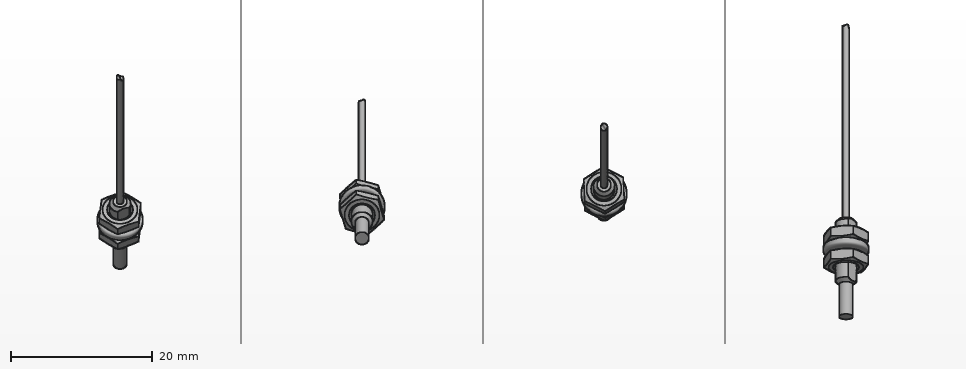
import cadquery as cq

total_height = 45.0
tip_diameter = 2.0
tip_length = 5.0
barrel_diameter = 3.0
barrel_top = 15.0
barrel_flat_x = 1.2
cable_diameter = 1.0
cable_end_wave = 0.22

nut_across_corners = 6.5
nut_height = 1.8
nut_face_diameter = 4.95
nut_corner_drop = 0.25
nut_mouth_diameter = 3.7
nut_bottoms = (7.65, 11.2)

washer_diameter = 6.5
washer_bore = 3.3
washer_bottom = 9.85
washer_height = 1.12
washer_edge_radius = 0.35


def make_barrel():
    """Cylinder coned at both ends to the tip diameter, with a flat on +X."""
    barrel_length = barrel_top - tip_length
    barrel = (
        cq.Workplane("XY", origin=(0, 0, tip_length))
        .circle(barrel_diameter / 2)
        .extrude(barrel_length)
        .faces("<Z or >Z")
        .chamfer((barrel_diameter - tip_diameter) / 2)
    )
    flat_cutter = cq.Workplane("XY", origin=(barrel_flat_x, 0, tip_length)).box(
        barrel_diameter, barrel_diameter, barrel_length, centered=(False, True, False)
    )
    return barrel.cut(flat_cutter)


def make_cable():
    """Round cable whose free end is an S-curve: convex on -Y, concave on +Y."""
    radius = cable_diameter / 2
    end_level = total_height - cable_end_wave
    side_profile = (
        cq.Workplane("YZ")
        .moveTo(-radius, barrel_top)
        .lineTo(-radius, end_level)
        .threePointArc((-radius / 2, total_height), (0, end_level))
        .threePointArc((radius / 2, end_level - cable_end_wave), (radius, end_level))
        .lineTo(radius, barrel_top)
        .close()
        .extrude(radius, both=True)
    )
    rod = (
        cq.Workplane("XY", origin=(0, 0, barrel_top))
        .circle(radius)
        .extrude(total_height - barrel_top)
    )
    return rod.intersect(side_profile)


def make_sensor():
    tip = cq.Workplane("XY").circle(tip_diameter / 2).extrude(tip_length)
    return tip.union(make_barrel()).union(make_cable())


def make_nut(bottom):
    """Hexagon nut with corners on the Y axis, bevelled ends and countersunk bore."""
    hexagon = (
        cq.Workplane("XY")
        .polygon(6, nut_across_corners)
        .extrude(nut_height)
        .rotate((0, 0, 0), (0, 0, 1), 90)
    )
    bore_radius = barrel_diameter / 2
    mouth_radius = nut_mouth_diameter / 2
    mouth_depth = mouth_radius - bore_radius
    face_radius = nut_face_diameter / 2
    corner_radius = nut_across_corners / 2
    bevelled_ring = (
        cq.Workplane("XZ")
        .polyline([
            (bore_radius, mouth_depth),
            (mouth_radius, 0),
            (face_radius, 0),
            (corner_radius, nut_corner_drop),
            (corner_radius, nut_height - nut_corner_drop),
            (face_radius, nut_height),
            (mouth_radius, nut_height),
            (bore_radius, nut_height - mouth_depth),
        ])
        .close()
        .revolve(360, (0, 0), (0, 1))
    )
    return hexagon.intersect(bevelled_ring).translate((0, 0, bottom))


def make_washer():
    """Flat ring with rounded outer edges."""
    disc = (
        cq.Workplane("XY", origin=(0, 0, washer_bottom))
        .circle(washer_diameter / 2)
        .extrude(washer_height)
        .edges()
        .fillet(washer_edge_radius)
    )
    bore = (
        cq.Workplane("XY", origin=(0, 0, washer_bottom))
        .circle(washer_bore / 2)
        .extrude(washer_height)
    )
    return disc.cut(bore)


sensor = make_sensor()
nuts = [make_nut(bottom) for bottom in nut_bottoms]
washer = make_washer()

result = cq.Compound.makeCompound([sensor.val(), *[nut.val() for nut in nuts], washer.val()])